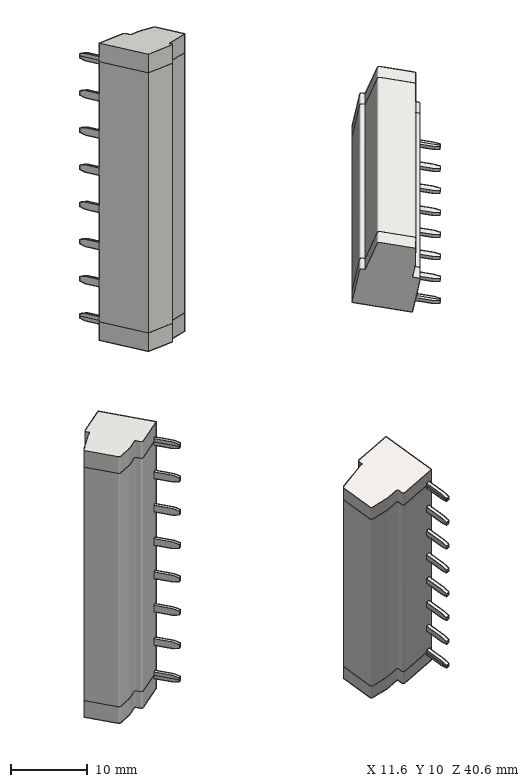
import cadquery as cq
import math

length = 40.65
pin_count = 8
pitch = length / pin_count
end_length = pitch / 2

base_width = 8.05
base_height = 5.45
total_height = 10.0
left_ledge = 1.05
right_ledge = 0.7
left_bend_height = 7.4
draft_angle = math.radians(10.0)
outer_round = 0.3
inner_round = 0.12

pin_length = 3.55
pin_width = 1.0
pin_thickness = 0.5
pin_bottom = 0.5
tip_length = 0.9
tip_width = 0.55


def strip_slice(z_bottom, z_top):
    """Stepped strip with a tapered upper part, between two Z levels."""
    foot_x = base_width - right_ledge
    top_left_x = left_ledge + (total_height - left_bend_height) * math.tan(draft_angle)
    top_right_x = foot_x - (total_height - base_height) * math.tan(draft_angle)

    base_right = (base_width, base_height)
    top_right = (top_right_x, total_height)
    top_left = (top_left_x, total_height)
    left_bend = (left_ledge, left_bend_height)
    inner_left = (left_ledge, base_height)
    base_left = (0, base_height)

    strip = (
        cq.Workplane("XY", origin=(0, 0, z_bottom))
        .moveTo(0, 0)
        .lineTo(base_width, 0)
        .lineTo(*base_right)
        .lineTo(foot_x, base_height)
        .lineTo(*top_right)
        .lineTo(*top_left)
        .lineTo(*left_bend)
        .lineTo(*inner_left)
        .lineTo(*base_left)
        .close()
        .extrude(z_top - z_bottom)
    )

    z_middle = (z_bottom + z_top) / 2
    roundings = [
        (base_right, outer_round),
        (top_right, outer_round),
        (top_left, outer_round),
        (base_left, outer_round),
        (inner_left, inner_round),
    ]
    for (x, y), radius in roundings:
        corner = cq.NearestToPointSelector((x, y, z_middle))
        strip = strip.edges("|Z").edges(corner).fillet(radius)
    return strip


def pin(z_center):
    """Flat pin whose sides taper to a blunt tip."""
    shoulder_x = tip_length - pin_length
    half_outline = [
        (0, pin_width / 2),
        (shoulder_x, pin_width / 2),
        (-pin_length, tip_width / 2),
    ]
    mirrored_outline = [(x, -z) for x, z in reversed(half_outline)]
    return (
        cq.Workplane("XZ", origin=(0, pin_bottom, z_center))
        .polyline(half_outline + mirrored_outline)
        .close()
        .extrude(-pin_thickness)
    )


def slab(z_bottom, z_top):
    """Block that keeps only what lies between two Z levels."""
    return (
        cq.Workplane("XY", origin=(-pin_length, 0, z_bottom))
        .box(pin_length + base_width, total_height, z_top - z_bottom, centered=False)
    )


def section(z_bottom, z_top):
    """One body: a length of strip with its pins, end pins cut along their centre."""
    body = strip_slice(z_bottom, z_top)
    for index in range(pin_count):
        z_center = end_length + index * pitch
        if z_bottom <= z_center <= z_top:
            body = body.union(pin(z_center).intersect(slab(z_bottom, z_top)))
    return body


middle_section = section(end_length, length - end_length)

end_sections = [
    section(z_bottom, z_bottom + end_length).val()
    for z_bottom in (0, length - end_length)
]

result = cq.Compound.makeCompound([middle_section.val(), *end_sections])